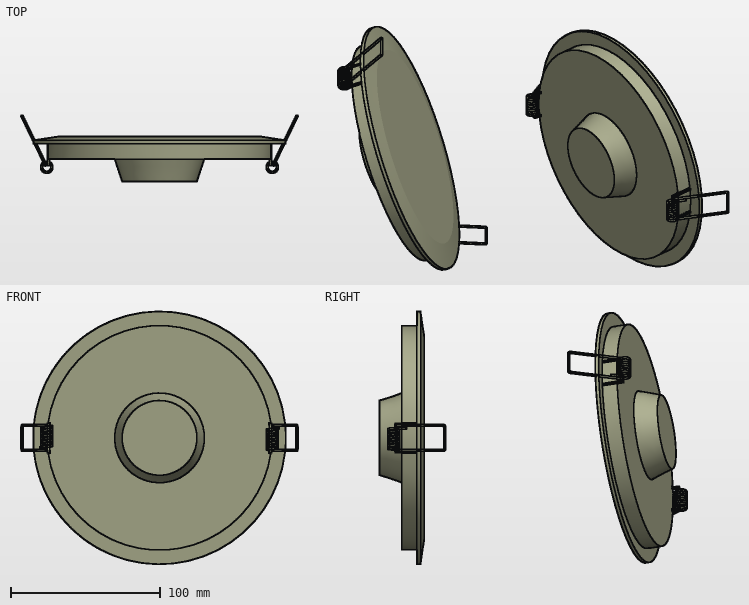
import cadquery as cq
import math

FLANGE_DIAMETER = 169.0
FLANGE_FACE_DIAMETER = 135.0
FLANGE_RIM = 2.4
FLANGE_THICKNESS = 5.0
BODY_DIAMETER = 150.0
BODY_DEPTH = 10.2
BOSS_BASE_DIAMETER = 60.0
BOSS_TIP_DIAMETER = 50.0
BOSS_HEIGHT = 15.0

BRACKET_WIDTH = 19.6
BRACKET_DEPTH = 1.7
BRACKET_THICKNESS = 0.7
BRACKET_OVERHANG = 4.5
RECESS_CLEARANCE = 0.4

WIRE_DIAMETER = 1.4
COIL_OUTER_DIAMETER = 8.1
COIL_TURNS = 8
COIL_AXIS_X = -75.3
COIL_AXIS_Y = -15.5
COIL_TOP_Z = 8.1
COIL_BOTTOM_Z = -6.5
ARM_HALF_WIDTH = 8.3
ARM_CORNER_RADIUS = 1.1
ARM_INNER_END = 1.1
TAIL_END = 9.3
OVERALL_WIDTH = 185.0
ARM_REACH_Y = 19.2

WIRE_RADIUS = WIRE_DIAMETER / 2
COIL_RADIUS = COIL_OUTER_DIAMETER / 2 - WIRE_RADIUS
BODY_BACK_Y = -BODY_DEPTH
BOSS_TIP_Y = BODY_BACK_Y - BOSS_HEIGHT

ARM_RUN_X = COIL_AXIS_X + OVERALL_WIDTH / 2 - WIRE_RADIUS
ARM_RUN_Y = ARM_REACH_Y - WIRE_RADIUS - COIL_AXIS_Y
ARM_LENGTH = math.hypot(ARM_RUN_X, ARM_RUN_Y)
ARM_DIRECTION = cq.Vector(-ARM_RUN_X / ARM_LENGTH, ARM_RUN_Y / ARM_LENGTH, 0)
ARM_ANGLE = math.degrees(math.atan2(ARM_RUN_Y, -ARM_RUN_X))
ARM_PLANE = cq.Plane(
    origin=(COIL_AXIS_X, COIL_AXIS_Y, 0),
    xDir=ARM_DIRECTION,
    normal=ARM_DIRECTION.cross(cq.Vector(0, 0, 1)),
)

SIDE_ANGLES = (0, 180)


def turn_about_housing_axis(shape, angle):
    return shape.rotate((0, 0, 0), (0, 1, 0), angle)


def make_housing_disc():
    """Bevelled flange, cylindrical body and tapered boss, turned as one profile."""
    return (
        cq.Workplane("XY")
        .moveTo(0, FLANGE_THICKNESS)
        .lineTo(FLANGE_FACE_DIAMETER / 2, FLANGE_THICKNESS)
        .lineTo(FLANGE_DIAMETER / 2, FLANGE_RIM)
        .lineTo(FLANGE_DIAMETER / 2, 0)
        .lineTo(BODY_DIAMETER / 2, 0)
        .lineTo(BODY_DIAMETER / 2, BODY_BACK_Y)
        .lineTo(BOSS_BASE_DIAMETER / 2, BODY_BACK_Y)
        .lineTo(BOSS_TIP_DIAMETER / 2, BOSS_TIP_Y)
        .lineTo(0, BOSS_TIP_Y)
        .close()
        .revolve(360, (0, 0, 0), (0, 1, 0))
    )


def make_bracket():
    """Strap with two legs that start at the flange and a bar that joins them inside the coil."""
    length = BODY_DEPTH + BRACKET_OVERHANG
    inner_half_width = BRACKET_WIDTH / 2 - BRACKET_THICKNESS
    strap = (
        cq.Workplane("YZ")
        .moveTo(0, BRACKET_WIDTH / 2)
        .lineTo(-length, BRACKET_WIDTH / 2)
        .lineTo(-length, -BRACKET_WIDTH / 2)
        .lineTo(0, -BRACKET_WIDTH / 2)
        .lineTo(0, -inner_half_width)
        .lineTo(BRACKET_THICKNESS - length, -inner_half_width)
        .lineTo(BRACKET_THICKNESS - length, inner_half_width)
        .lineTo(0, inner_half_width)
        .close()
        .extrude(BRACKET_DEPTH)
    )
    return strap.translate((-BODY_DIAMETER / 2, 0, 0))


def make_recesses():
    """Pair of grooves along the body, slightly larger than the bracket legs."""
    depth = BRACKET_DEPTH + RECESS_CLEARANCE
    width = BRACKET_THICKNESS + 2 * RECESS_CLEARANCE
    leg_center_z = (BRACKET_WIDTH - BRACKET_THICKNESS) / 2
    return (
        cq.Workplane("XZ")
        .pushPoints([(0, leg_center_z), (0, -leg_center_z)])
        .rect(depth, width)
        .extrude(BODY_DEPTH)
        .translate(((depth - BODY_DIAMETER) / 2, 0, 0))
    )


def make_arm():
    """U-shaped wire whose two legs end inside the ends of the coil."""
    path = (
        cq.Workplane(ARM_PLANE)
        .moveTo(ARM_INNER_END, ARM_HALF_WIDTH)
        .lineTo(ARM_LENGTH - ARM_CORNER_RADIUS, ARM_HALF_WIDTH)
        .radiusArc((ARM_LENGTH, ARM_HALF_WIDTH - ARM_CORNER_RADIUS), ARM_CORNER_RADIUS)
        .lineTo(ARM_LENGTH, ARM_CORNER_RADIUS - ARM_HALF_WIDTH)
        .radiusArc((ARM_LENGTH - ARM_CORNER_RADIUS, -ARM_HALF_WIDTH), ARM_CORNER_RADIUS)
        .lineTo(ARM_INNER_END, -ARM_HALF_WIDTH)
    )
    start = ARM_PLANE.toWorldCoords((ARM_INNER_END, ARM_HALF_WIDTH))
    section = cq.Workplane(cq.Plane(origin=start, xDir=(0, 0, 1), normal=ARM_DIRECTION))
    return section.circle(WIRE_RADIUS).sweep(path)


def make_coil():
    """Helix that rises from the tail to the upper leg of the arm."""
    height = COIL_TOP_Z - COIL_BOTTOM_Z
    pitch = height / COIL_TURNS
    helix = cq.Wire.makeHelix(pitch, height, COIL_RADIUS)
    start_direction = (0, 2 * math.pi * COIL_RADIUS, pitch)
    section = cq.Workplane(cq.Plane(origin=(COIL_RADIUS, 0, 0), xDir=(1, 0, 0), normal=start_direction))
    coil = section.circle(WIRE_RADIUS).sweep(cq.Workplane(obj=helix), isFrenet=True)
    coil = coil.rotate((0, 0, 0), (0, 0, 1), ARM_ANGLE)
    return coil.translate((COIL_AXIS_X, COIL_AXIS_Y, COIL_BOTTOM_Z))


def make_tail():
    """Short straight wire beside the lower leg, running out from the inner edge of the coil."""
    inner_radius = COIL_RADIUS - WIRE_RADIUS
    start = ARM_PLANE.toWorldCoords((inner_radius, COIL_BOTTOM_Z))
    section = cq.Workplane(cq.Plane(origin=start, xDir=(0, 0, 1), normal=ARM_DIRECTION))
    return section.circle(WIRE_RADIUS).extrude(TAIL_END - inner_radius)


def make_spring(arm):
    return make_coil().union(arm).union(make_tail())


left_recesses = make_recesses()
left_bracket = make_bracket()
left_arm = make_arm()
left_spring = make_spring(left_arm)

brackets = [turn_about_housing_axis(left_bracket, angle) for angle in SIDE_ANGLES]
springs = [turn_about_housing_axis(left_spring, angle) for angle in SIDE_ANGLES]

housing = make_housing_disc()
for angle in SIDE_ANGLES:
    housing = housing.cut(turn_about_housing_axis(left_recesses, angle))
    housing = housing.cut(turn_about_housing_axis(left_arm, angle))

result = cq.Compound.makeCompound(
    [housing.val()] + [bracket.val() for bracket in brackets] + [spring.val() for spring in springs]
)